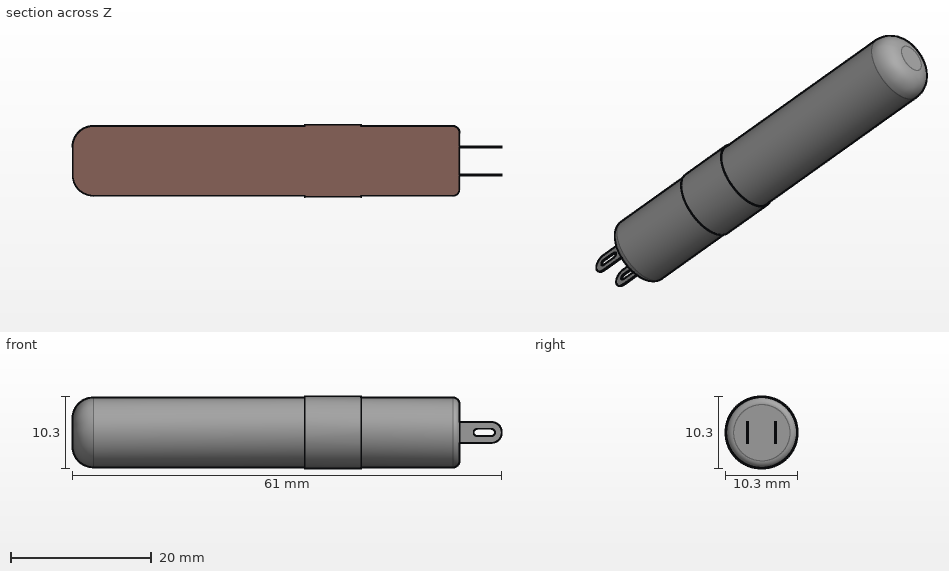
import cadquery as cq

body_diameter = 10.0
body_length = 55.0
nose_radius = 3.0
tail_radius = 1.0

collar_diameter = 10.3
collar_start = 33.0
collar_length = 8.0

terminal_length = 6.0
terminal_width = 3.0
terminal_thickness = 0.2
terminal_spacing = 4.0
slot_length = 3.0
slot_width = 1.0
slot_tip_wall = 1.0


def make_body():
    body = cq.Workplane("YZ").circle(body_diameter / 2).extrude(body_length)
    body = body.faces("<X").edges().fillet(nose_radius)
    return body.faces(">X").edges().fillet(tail_radius)


def make_collar():
    return (
        cq.Workplane("YZ", origin=(collar_start, 0, 0))
        .circle(collar_diameter / 2)
        .extrude(collar_length)
    )


def make_terminal(center_y):
    """Round-ended upright tab with a lengthwise wire slot near its tip."""
    tip_radius = terminal_width / 2
    tip_x = body_length + terminal_length
    shoulder_x = tip_x - tip_radius
    slot_center_x = tip_x - slot_tip_wall - slot_length / 2
    plane = cq.Workplane("XZ", origin=(0, center_y, 0))
    tab = (
        plane.moveTo(body_length, -tip_radius)
        .lineTo(shoulder_x, -tip_radius)
        .threePointArc((tip_x, 0), (shoulder_x, tip_radius))
        .lineTo(body_length, tip_radius)
        .close()
        .extrude(terminal_thickness / 2, both=True)
    )
    slot = (
        plane.center(slot_center_x, 0)
        .slot2D(slot_length, slot_width)
        .extrude(terminal_thickness, both=True)
    )
    return tab.cut(slot)


result = make_body().union(make_collar())
for side in (-1, 1):
    result = result.union(make_terminal(side * terminal_spacing / 2))